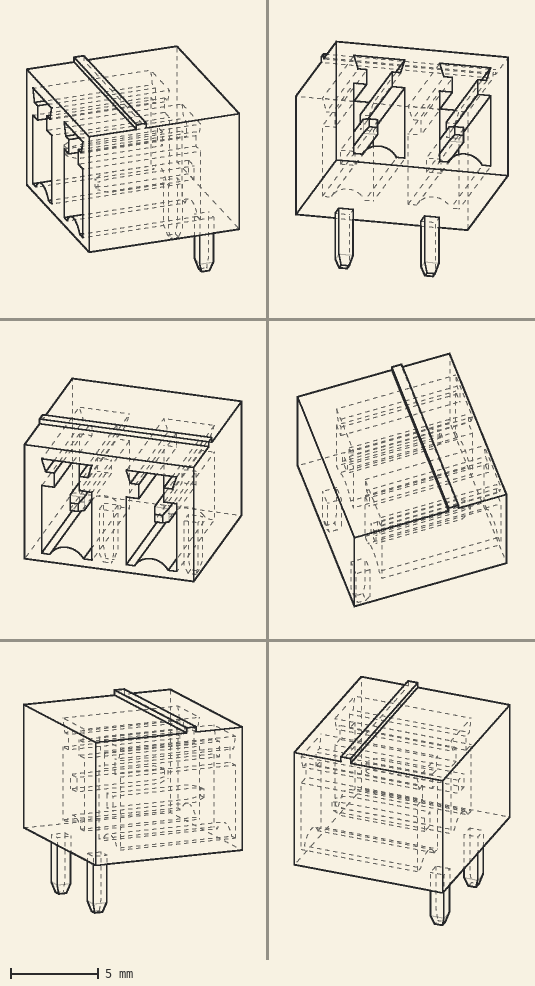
import cadquery as cq


PITCH = 5.08
POSITIONS = 2
WIDTH = PITCH * POSITIONS
DEPTH = 9.2
HEIGHT = 7.25

RIDGE_FRONT = 2.9
RIDGE_DEPTH = 0.6
RIDGE_HEIGHT = 0.3

POCKET_DEPTH = 7.2
POCKET_WIDTH = 3.02
POCKET_FLOOR = 0.5
POCKET_SHOULDER = 4.8
NECK_WIDTH = 1.5
NECK_TOP = 5.7
DOVETAIL_BASE_WIDTH = 2.52
POCKET_TOP = 6.5

RAIL_WIDTH = 2.02
RAIL_TOP = 1.09

PIN_SIZE = 0.85
PIN_TIP_SIZE = 0.48
PIN_TAPER = 0.6
PIN_AXIS_HEIGHT = 3.0
PIN_TIP_SETBACK = 1.4
TAIL_LENGTH = 3.4
TAIL_TO_BACK = 1.21
TAIL_Y = DEPTH - TAIL_TO_BACK


def make_housing():
    """Rectangular block with a full-width ridge on its top face."""
    block = cq.Workplane("XY").box(WIDTH, DEPTH, HEIGHT, centered=(True, False, False))
    ridge = (
        cq.Workplane("XY", origin=(0, RIDGE_FRONT, HEIGHT))
        .box(WIDTH, RIDGE_DEPTH, RIDGE_HEIGHT, centered=(True, False, False))
    )
    return block.union(ridge)


def make_pocket(x):
    """Keyhole-shaped pocket volume, with the floor rail left out of it."""
    half_pocket = POCKET_WIDTH / 2
    half_neck = NECK_WIDTH / 2
    half_dovetail = DOVETAIL_BASE_WIDTH / 2
    half_rail = RAIL_WIDTH / 2
    return (
        cq.Workplane("XZ", origin=(x, 0, 0))
        .moveTo(-half_rail, POCKET_FLOOR)
        .lineTo(-half_pocket, POCKET_FLOOR)
        .lineTo(-half_pocket, POCKET_SHOULDER)
        .lineTo(-half_neck, POCKET_SHOULDER)
        .lineTo(-half_neck, NECK_TOP)
        .lineTo(-half_dovetail, NECK_TOP)
        .lineTo(-half_pocket, POCKET_TOP)
        .lineTo(half_pocket, POCKET_TOP)
        .lineTo(half_dovetail, NECK_TOP)
        .lineTo(half_neck, NECK_TOP)
        .lineTo(half_neck, POCKET_SHOULDER)
        .lineTo(half_pocket, POCKET_SHOULDER)
        .lineTo(half_pocket, POCKET_FLOOR)
        .lineTo(half_rail, POCKET_FLOOR)
        .threePointArc((0, RAIL_TOP), (-half_rail, POCKET_FLOOR))
        .close()
        .extrude(-POCKET_DEPTH)
    )


def make_leg(start_plane, length):
    """Straight square bar of the given length, ending in a tapered tip."""
    shank_length = length - PIN_TAPER
    shank = start_plane.rect(PIN_SIZE, PIN_SIZE).extrude(shank_length)
    tip = (
        start_plane.workplane(offset=shank_length)
        .rect(PIN_SIZE, PIN_SIZE)
        .workplane(offset=PIN_TAPER)
        .rect(PIN_TIP_SIZE, PIN_TIP_SIZE)
        .loft(ruled=True)
    )
    return shank.union(tip)


def make_pin(x):
    """L-shaped pin: a contact pointing at the mating face and a tail pointing down."""
    contact_start = cq.Workplane("XZ", origin=(x, TAIL_Y, PIN_AXIS_HEIGHT))
    tail_start = cq.Workplane("XY", origin=(x, TAIL_Y, PIN_AXIS_HEIGHT)).transformed(rotate=(180, 0, 0))
    contact = make_leg(contact_start, TAIL_Y - PIN_TIP_SETBACK)
    tail = make_leg(tail_start, PIN_AXIS_HEIGHT + TAIL_LENGTH)
    return contact.union(tail)


result = make_housing()
for index in range(POSITIONS):
    position_x = (index - (POSITIONS - 1) / 2) * PITCH
    result = result.cut(make_pocket(position_x)).union(make_pin(position_x))